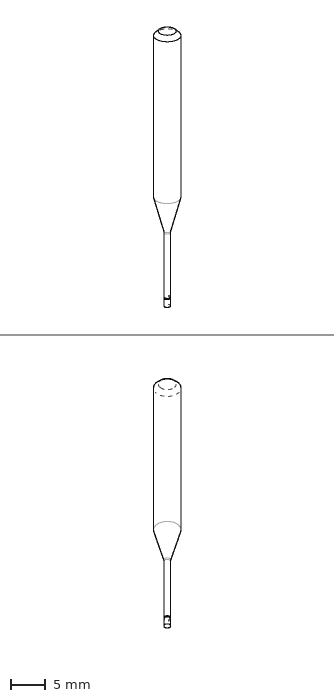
import cadquery as cq
import math

total_length = 45.0
shank_radius = 2.0
shank_chamfer = 0.7

head_radius = 0.5
head_length = 1.3
land_length = 0.2
land_top = head_length + land_length

neck_radius = 0.475
neck_top = 12.0

taper_half_angle = math.radians(15.0)
blend_radius = 1.0

profile_plane = cq.Plane(origin=(0, 0, 0), xDir=(0, -1, 0), normal=(-1, 0, 0))
axis_start = (0, 0, 0)
axis_end = (0, 1, 0)


def neck_blend_point(angle):
    """Point (radius, Z) on the blend arc where it has turned by the angle from the neck wall."""
    radius = neck_radius + blend_radius * (1 - math.cos(angle))
    height = neck_top + blend_radius * math.sin(angle)
    return radius, height


def make_cutting_head():
    """Plain cylinder of the cutting diameter."""
    return (
        cq.Workplane(profile_plane)
        .rect(head_radius, head_length, centered=False)
        .revolve(360, axis_start, axis_end)
    )


def make_shank():
    """Turned holder: short land on the head, neck, blended taper and chamfered shank."""
    blend_middle = neck_blend_point(taper_half_angle / 2)
    blend_end = neck_blend_point(taper_half_angle)
    blend_end_radius, blend_end_height = blend_end
    taper_height = (shank_radius - blend_end_radius) / math.tan(taper_half_angle)
    taper_top = blend_end_height + taper_height

    return (
        cq.Workplane(profile_plane)
        .moveTo(0, head_length)
        .lineTo(head_radius, head_length)
        .lineTo(head_radius, land_top)
        .lineTo(neck_radius, land_top)
        .lineTo(neck_radius, neck_top)
        .threePointArc(blend_middle, blend_end)
        .lineTo(shank_radius, taper_top)
        .lineTo(shank_radius, total_length - shank_chamfer)
        .lineTo(shank_radius - shank_chamfer, total_length)
        .lineTo(0, total_length)
        .close()
        .revolve(360, axis_start, axis_end)
    )


cutting_head = make_cutting_head()
shank = make_shank()

result = cq.Compound.makeCompound([cutting_head.val(), shank.val()])